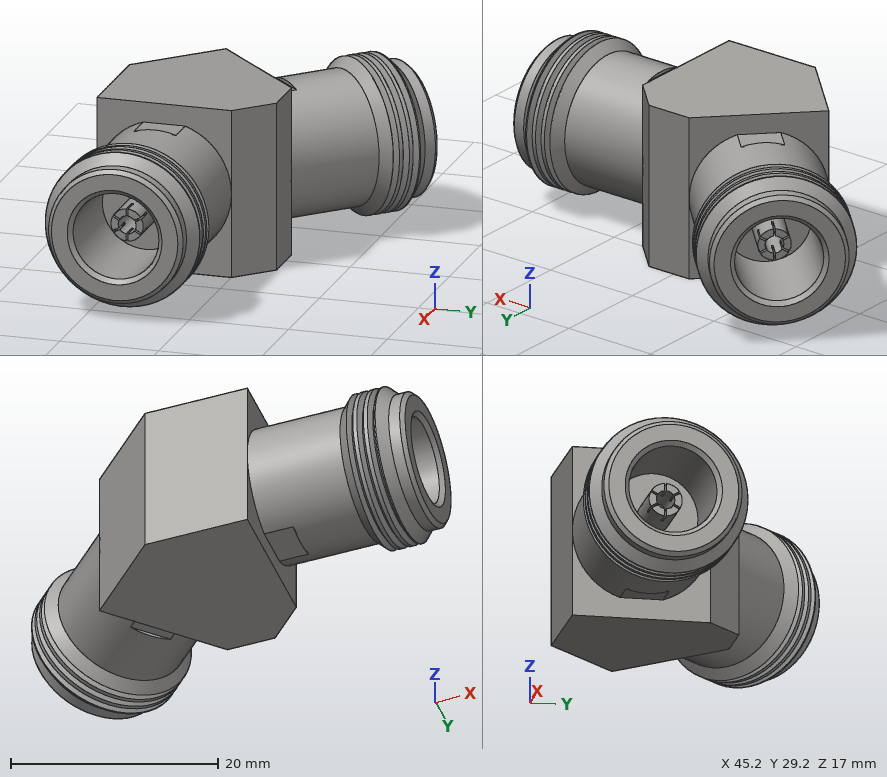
import cadquery as cq
import math


ARM_ANGLES = (0, 135)
overall_length = 45.15

block_height = 17.0
seat_distance = 7.72

socket_diameter = 13.6
socket_radius = socket_diameter / 2
tip_chamfer = 0.4
bend = math.radians(180 - ARM_ANGLES[1])
tip_face_radius = socket_radius - tip_chamfer
socket_tip_distance = (overall_length - tip_face_radius * math.sin(bend)) / (1 + math.cos(bend))

flat_length = 3.0
flat_height = 6.45

thread_radius = 7.8
thread_setback = 1.55
groove_count = 3
groove_width = 0.7
groove_depth = 0.65
crest_width = 0.4
last_crest_width = 0.15
thread_slope = thread_radius - socket_radius

bore_radius = 4.35
bore_depth = 9.95
bore_chamfer = 0.45

contact_setback = 4.05
contact_radius = 1.63
contact_bore_radius = 0.9
contact_bore_depth = 4.5
slot_count = 6
slot_width = 0.2
slot_depth = 1.8

bore_floor = socket_tip_distance - bore_depth
contact_tip = socket_tip_distance - contact_setback
contact_length = contact_tip - bore_floor


def make_housing():
    """Bent block whose outer walls are tangent to both sockets."""
    half_angle = math.radians(ARM_ANGLES[1] / 2)
    outer_corner_x = -socket_radius / math.tan(half_angle)
    seat_edge_angle = math.atan2(socket_radius, seat_distance)
    seat_edge_radius = math.hypot(socket_radius, seat_distance)
    inner_wall_distance = seat_edge_radius * math.sin(math.radians(ARM_ANGLES[1]) - seat_edge_angle)
    inner_corner_radius = inner_wall_distance / math.sin(half_angle)

    def polar(radius, angle):
        return (radius * math.cos(angle), radius * math.sin(angle))

    second_arm = math.radians(ARM_ANGLES[1])
    outline = [
        (outer_corner_x, -socket_radius),
        (seat_distance, -socket_radius),
        (seat_distance, socket_radius),
        polar(inner_corner_radius, half_angle),
        polar(seat_edge_radius, second_arm - seat_edge_angle),
        polar(seat_edge_radius, second_arm + seat_edge_angle),
    ]
    return cq.Workplane("XY").polyline(outline).close().extrude(block_height / 2, both=True)


def thread_outline():
    """(x, radius) points of the thread, from the housing side to the open end."""
    thread_end = socket_tip_distance - thread_setback
    last_crest = thread_end - thread_slope
    grooves_length = groove_count * groove_width + (groove_count - 1) * crest_width
    first_crest = last_crest - last_crest_width - grooves_length
    points = [(first_crest - thread_slope, socket_radius)]
    for index in range(groove_count):
        groove_start = first_crest + index * (groove_width + crest_width)
        points += [
            (groove_start, thread_radius),
            (groove_start + groove_width / 2, thread_radius - groove_depth),
            (groove_start + groove_width, thread_radius),
        ]
    points += [(last_crest, thread_radius), (thread_end, socket_radius)]
    return points


def make_socket():
    """Threaded shell along +X, with a blind bore open at its far end."""
    outline = [
        (seat_distance, 0),
        (seat_distance, socket_radius),
        *thread_outline(),
        (socket_tip_distance - tip_chamfer, socket_radius),
        (socket_tip_distance, socket_radius - tip_chamfer),
        (socket_tip_distance, bore_radius + bore_chamfer),
        (socket_tip_distance - bore_chamfer, bore_radius),
        (bore_floor, bore_radius),
        (bore_floor, 0),
    ]
    shell = cq.Workplane("XY").polyline(outline).close().revolve(360, (0, 0), (1, 0))

    cut_height = socket_radius - flat_height
    for side in (1, -1):
        flat_cut = cq.Workplane("XY").box(flat_length, 2 * socket_radius, cut_height).translate(
            (seat_distance + flat_length / 2, 0, side * (flat_height + cut_height / 2))
        )
        shell = shell.cut(flat_cut)
    return shell


def make_contact():
    """Tubular contact along +X, its tip split by radial slots."""
    contact = cq.Workplane("YZ", origin=(bore_floor, 0, 0)).circle(contact_radius).extrude(contact_length)
    contact = contact.faces(">X").workplane().circle(contact_bore_radius).cutBlind(-contact_bore_depth)
    slot = cq.Workplane("XY").box(slot_depth, slot_width, contact_radius, centered=(False, True, False))
    slot = slot.translate((contact_tip - slot_depth, 0, 0))
    for index in range(slot_count):
        contact = contact.cut(slot.rotate((0, 0, 0), (1, 0, 0), index * 360 / slot_count))
    return contact


def on_arm(body, angle):
    """Turn a body built along +X onto the socket axis at the given angle."""
    return body.rotate((0, 0, 0), (0, 0, 1), angle).val()


housing = make_housing()
sockets = [on_arm(make_socket(), angle) for angle in ARM_ANGLES]
contacts = [on_arm(make_contact(), angle) for angle in ARM_ANGLES]

result = cq.Compound.makeCompound([housing.val(), *sockets, *contacts])